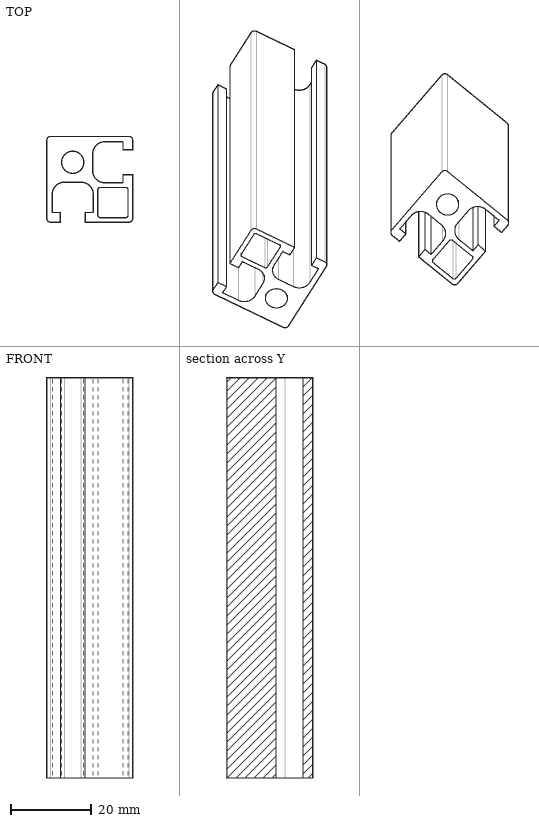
import cadquery as cq

side = 21.5
length = 100.0
outer_radius = 1.0

centre_offset = 6.5

slot_depth = 10.0
slot_width = 10.2
slot_back_radius = 3.0
mouth_width = 6.2
lip_thickness = 2.5

core_diameter = 5.5

chamber_size = 7.5
chamber_wall = 1.2
chamber_radius = 0.5

half = side / 2
centre = half - centre_offset


def prism(x_min, x_max, y_min, y_max):
    """Full-length block between the given X and Y limits."""
    return (
        cq.Workplane("XY")
        .center((x_min + x_max) / 2, (y_min + y_max) / 2)
        .rect(x_max - x_min, y_max - y_min)
        .extrude(length)
    )


def side_slot():
    """Space of the T-slot that opens through the +X side."""
    lip_face = half - lip_thickness
    pocket = prism(half - slot_depth, lip_face, centre - slot_width / 2, centre + slot_width / 2)
    pocket = pocket.edges("|Z and <X").fillet(slot_back_radius)
    mouth = prism(lip_face, half, centre - mouth_width / 2, centre + mouth_width / 2)
    return pocket.union(mouth)


def mirrored_slot(slot):
    """The same slot mirrored across the line Y = -X, opening through the -Y side."""
    return slot.mirror("XZ").rotate((0, 0, 0), (0, 0, 1), -90)


def core_hole():
    """Round hole through the full length, in the -X, +Y corner."""
    return cq.Workplane("XY").center(-centre, centre).circle(core_diameter / 2).extrude(length)


def chamber():
    """Closed square channel through the full length, with lightly rounded corners."""
    outer = half - chamber_wall
    inner = outer - chamber_size
    return prism(inner, outer, -outer, -inner).edges("|Z").fillet(chamber_radius)


body = prism(-half, half, -half, half).edges("|Z").fillet(outer_radius)
slot = side_slot()
result = body.cut(slot).cut(mirrored_slot(slot)).cut(core_hole()).cut(chamber())